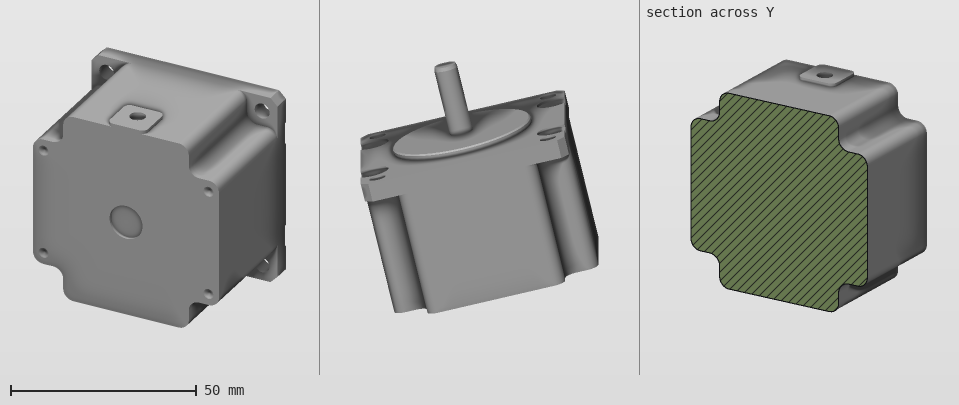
import cadquery as cq
import math


width = 56.4
half_width = width / 2
body_length = 39.0
flange_thickness = 5.0
flange_corner_chamfer = 2.1
mount_hole_spacing = 47.14
mount_hole_diameter = 4.5

relief_size = 9.15
relief_radius = 3.1

pilot_diameter = 38.1
pilot_height = 1.6
pilot_chamfer = 0.4
shaft_diameter = 6.35
shaft_length = 20.6
shaft_tip_chamfer_length = 1.0
shaft_tip_chamfer_depth = 0.27
flat_length = 14.9
shaft_height_across_flat = 5.8
flat_height = shaft_height_across_flat - shaft_diameter / 2

screw_x = 25.0
screw_z = 15.65
screw_recess_diameter = 9.0
screw_recess_depth = 0.7
screw_cone_diameter = 2.5
screw_mouth_diameter = 3.0
screw_mouth_depth = 0.1
screw_cone_angle = 118.0

bearing_recess_diameter = 10.0
bearing_recess_depth = 1.0

pad_size = 11.6
pad_height = 1.0
pad_corner_radius = 1.8
cable_hole_diameter = 4.5
cable_hole_depth = 2.0
cable_hole_from_back = 6.8

back_y = -body_length
SIGNS = (-1, 1)


def y_cylinder(x, z, start_y, diameter, length):
    """Cylinder running from start_y toward +Y."""
    return cq.Workplane("XZ", origin=(x, start_y, z)).circle(diameter / 2).extrude(-length)


def make_flange():
    plate = cq.Workplane("XZ").rect(width, width).extrude(flange_thickness)
    return plate.edges("|Y").chamfer(flange_corner_chamfer)


def make_body():
    """Square block with a rounded step at each corner."""
    start_y = -flange_thickness
    length = body_length - flange_thickness
    inner_width = width - 2 * relief_size
    wide = cq.Workplane("XZ", origin=(0, start_y, 0)).rect(width, inner_width).extrude(length)
    tall = cq.Workplane("XZ", origin=(0, start_y, 0)).rect(inner_width, width).extrude(length)
    return wide.union(tall).edges("|Y").fillet(relief_radius)


def make_pilot():
    return y_cylinder(0, 0, 0, pilot_diameter, pilot_height).faces(">Y").chamfer(pilot_chamfer)


def make_shaft():
    """Round shaft with a tapered tip and a flat on its +Z side."""
    radius = shaft_diameter / 2
    tip_radius = radius - shaft_tip_chamfer_depth
    profile = (
        cq.Workplane("XY")
        .lineTo(radius, 0)
        .lineTo(radius, shaft_length - shaft_tip_chamfer_length)
        .lineTo(tip_radius, shaft_length)
        .lineTo(0, shaft_length)
        .close()
    )
    shaft = profile.revolve(360, (0, 0, 0), (0, 1, 0))
    flat_cutter = cq.Workplane("XY").box(
        shaft_diameter, flat_length, radius, centered=(True, False, False)
    )
    return shaft.cut(flat_cutter.translate((0, shaft_length - flat_length, flat_height)))


def make_cable_pad():
    pad = cq.Workplane("XY").box(pad_size, pad_size, pad_height, centered=(True, False, False))
    pad = pad.edges("|Z").fillet(pad_corner_radius)
    return pad.translate((0, back_y, half_width))


def make_cable_hole():
    top = cq.Workplane("XY", origin=(0, back_y + cable_hole_from_back, half_width + pad_height))
    return top.circle(cable_hole_diameter / 2).extrude(-cable_hole_depth)


def make_screw_hole(x, z):
    """Conical hole in the back face with a shallow chamfered mouth."""
    mouth_radius = screw_mouth_diameter / 2
    radius = screw_cone_diameter / 2
    cone_depth = radius / math.tan(math.radians(screw_cone_angle / 2))
    profile = (
        cq.Workplane("XY")
        .lineTo(mouth_radius, 0)
        .lineTo(radius, screw_mouth_depth)
        .lineTo(0, screw_mouth_depth + cone_depth)
        .close()
    )
    return profile.revolve(360, (0, 0, 0), (0, 1, 0)).translate((x, back_y, z))


def cut_corner_features(motor):
    """Mounting hole, screw recess and screw hole in each quadrant."""
    mount_offset = mount_hole_spacing / 2
    for side_x in SIGNS:
        for side_z in SIGNS:
            x = side_x * screw_x
            z = side_z * screw_z
            motor = motor.cut(
                y_cylinder(
                    side_x * mount_offset,
                    side_z * mount_offset,
                    -flange_thickness,
                    mount_hole_diameter,
                    flange_thickness,
                )
            )
            motor = motor.cut(
                y_cylinder(x, z, -screw_recess_depth, screw_recess_diameter, screw_recess_depth)
            )
            motor = motor.cut(make_screw_hole(x, z))
    return motor


motor = make_flange().union(make_body())
motor = cut_corner_features(motor)
motor = motor.union(make_pilot()).union(make_shaft()).union(make_cable_pad())
motor = motor.cut(make_cable_hole())
motor = motor.cut(y_cylinder(0, 0, back_y, bearing_recess_diameter, bearing_recess_depth))

result = motor